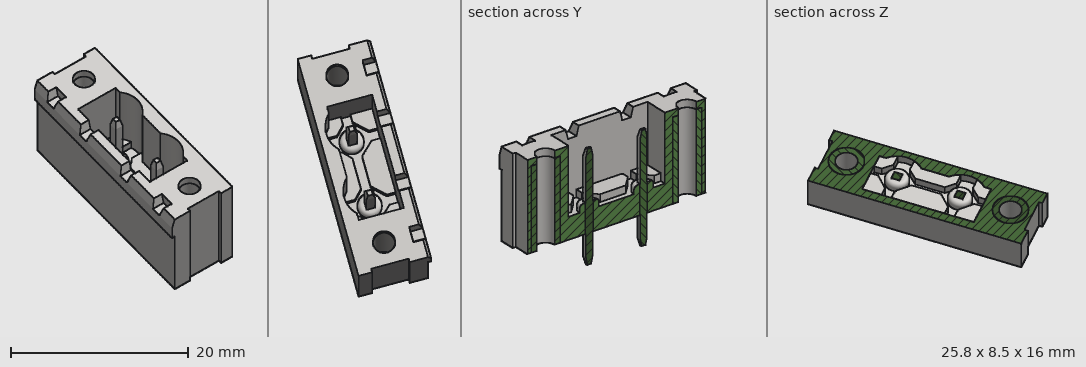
import cadquery as cq


length = 25.82
height = 12.0
back_y = 3.8
lip_front_y = -4.7
lip_overhang = 0.4
block_front_y = lip_front_y + lip_overhang
lip_height = 2.97
bevel_height = 1.25
end_recess_depth = 0.41
end_recess_back_y = 2.2
end_recess_front_y = -2.17

pocket_length = 13.48
pocket_back_y = 2.07
pocket_front_y = -3.2
pocket_depth = 8.0
bay_radius = 2.97
floor_z = height - pocket_depth

channel_depth = 1.0
channel_z = floor_z - channel_depth
arm_back_y = 0.45
arm_front_y = -0.67
flare_half_length = 2.01
back_leg_half_width = 0.98
back_leg_corner_y = 1.45
front_leg_corner_y = -2.17

notch_top_width = 1.83
notch_bottom_width = 1.2
notch_z = height - bevel_height
front_leg_half_width = notch_bottom_width / 2

pin_pitch = 7.62
pin_width = 1.0
pin_tip_width = 0.57
pin_taper = 0.98
pin_bottom_z = -4.0
pin_top_z = notch_z
collar_diameter = 2.8
collar_flat_diameter = 1.8
collar_height = channel_depth
collar_rounding = (collar_diameter - collar_flat_diameter) / 2

hole_diameter = 2.5
hole_spacing = 19.83
insert_diameter = 4.0
insert_depth = 1.0
insert_top_z = height - insert_depth

pin_xs = [-pin_pitch / 2, pin_pitch / 2]
hole_xs = [-hole_spacing / 2, hole_spacing / 2]


def box_between(x_min, x_max, y_min, y_max, z_min, z_max):
    """Axis-aligned box given by its limits."""
    return (
        cq.Workplane("XY")
        .box(x_max - x_min, y_max - y_min, z_max - z_min, centered=False)
        .translate((x_min, y_min, z_min))
    )


def cylinder(x, diameter, z_min, z_max):
    """Upright cylinder centred on the row of pins."""
    return cq.Workplane("XY", origin=(x, 0, z_min)).circle(diameter / 2).extrude(z_max - z_min)


def make_block():
    """Y-Z profile with the bevelled front lip, extruded along the length."""
    profile = [
        (back_y, 0),
        (back_y, height),
        (block_front_y, height),
        (lip_front_y, height - bevel_height),
        (lip_front_y, height - lip_height),
        (block_front_y, height - lip_height),
        (block_front_y, 0),
    ]
    return cq.Workplane("YZ", origin=(-length / 2, 0, 0)).polyline(profile).close().extrude(length)


def make_end_recesses():
    """Full-height shallow recesses in both ends of the block."""
    floor_x = length / 2 - end_recess_depth
    y_limits = (end_recess_front_y, end_recess_back_y)
    left = box_between(-length / 2, -floor_x, *y_limits, 0, height)
    right = box_between(floor_x, length / 2, *y_limits, 0, height)
    return left.union(right)


def make_pocket():
    """Rectangular pocket joined with the round bays behind the pins."""
    half_length = pocket_length / 2
    pocket = box_between(-half_length, half_length, pocket_front_y, pocket_back_y, floor_z, height)
    for x in pin_xs:
        bay = cylinder(x, 2 * bay_radius, floor_z, height)
        behind_pocket = box_between(
            x - bay_radius, x + bay_radius, pocket_back_y, bay_radius, floor_z, height
        )
        pocket = pocket.union(bay.intersect(behind_pocket))
    return pocket


def make_channels():
    """Lengthwise arm and, at each pin, a flared crossing with a back and a front leg."""
    half_length = pocket_length / 2
    channels = box_between(-half_length, half_length, arm_front_y, arm_back_y, channel_z, floor_z)
    for x in pin_xs:
        right_side = [
            (front_leg_half_width, pocket_front_y),
            (front_leg_half_width, front_leg_corner_y),
            (flare_half_length, arm_front_y),
            (flare_half_length, arm_back_y),
            (back_leg_half_width, back_leg_corner_y),
            (back_leg_half_width, bay_radius),
        ]
        left_side = [(-dx, y) for dx, y in reversed(right_side)]
        crossing = (
            cq.Workplane("XY", origin=(x, 0, channel_z))
            .polyline(right_side + left_side)
            .close()
            .extrude(channel_depth)
        )
        beyond_bay = box_between(
            x - bay_radius, x + bay_radius, back_leg_corner_y, bay_radius, channel_z, floor_z
        ).cut(cylinder(x, 2 * bay_radius, channel_z, floor_z))
        channels = channels.union(crossing.cut(beyond_bay))
    return channels


def make_notch(x):
    """Tapered notch from the pocket's front line out through the lip."""
    profile = [
        (x - notch_top_width / 2, height),
        (x + notch_top_width / 2, height),
        (x + notch_bottom_width / 2, notch_z),
        (x - notch_bottom_width / 2, notch_z),
    ]
    return (
        cq.Workplane("XZ", origin=(0, pocket_front_y, 0))
        .polyline(profile)
        .close()
        .extrude(pocket_front_y - lip_front_y)
    )


def make_collar(x):
    """Round-shouldered collar that stands in the channel around a pin."""
    collar = cylinder(x, collar_diameter, channel_z, channel_z + collar_height)
    return collar.faces(">Z").edges().fillet(collar_rounding)


def make_pin_taper(x, base_z, direction):
    """Four-sided pin tip that narrows from base_z upwards (direction 1) or downwards (-1)."""
    return (
        cq.Workplane("XY", origin=(x, 0, base_z))
        .rect(pin_width, pin_width)
        .workplane(offset=direction * pin_taper)
        .rect(pin_tip_width, pin_tip_width)
        .loft(ruled=True)
    )


def make_pin(x):
    """Square contact pin tapered at both ends."""
    half = pin_width / 2
    shank_bottom_z = pin_bottom_z + pin_taper
    shank_top_z = pin_top_z - pin_taper
    shank = box_between(x - half, x + half, -half, half, shank_bottom_z, shank_top_z)
    lower_tip = make_pin_taper(x, shank_bottom_z, -1)
    upper_tip = make_pin_taper(x, shank_top_z, 1)
    return shank.union(lower_tip).union(upper_tip)


def make_insert(x):
    """Screw insert whose bore continues the housing's screw hole down to the bottom face."""
    sleeve = cylinder(x, insert_diameter, 0, insert_top_z)
    return sleeve.cut(cylinder(x, hole_diameter, 0, insert_top_z))


def make_housing():
    housing = make_block().cut(make_end_recesses()).cut(make_pocket()).cut(make_channels())
    for x in pin_xs + hole_xs:
        housing = housing.cut(make_notch(x))
    for x in pin_xs:
        housing = housing.union(make_collar(x)).cut(make_pin(x))
    for x in hole_xs:
        housing = housing.cut(cylinder(x, hole_diameter, 0, height))
        housing = housing.cut(cylinder(x, insert_diameter, 0, insert_top_z))
    return housing


housing = make_housing()
pins = [make_pin(x) for x in pin_xs]
inserts = [make_insert(x) for x in hole_xs]

bodies = [housing] + pins + inserts
result = cq.Compound.makeCompound([body.solids().val() for body in bodies])